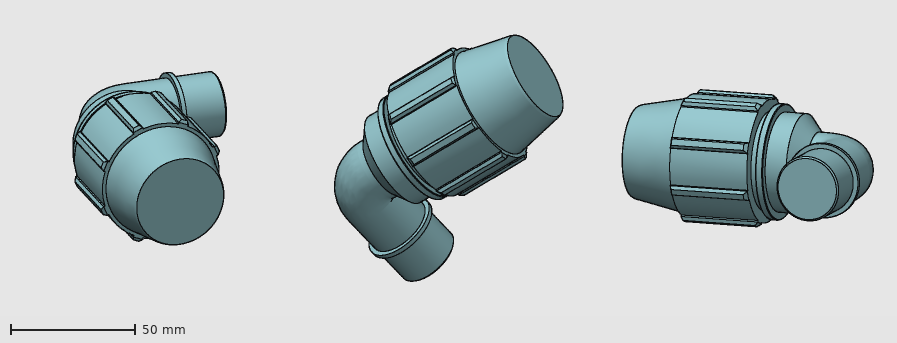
import cadquery as cq
import math

length = 105.2

tube_radius = 13.2
flange_radius = 15.2
spigot_x = flange_radius
spigot_end_y = 48.1
spigot_chamfer = 0.68
flange_start_y = 28.3
flange_thickness = 1.9
bend_radius = 10.5

body_radius = 20.25
cone_start_x = 28.3
cone_end_x = 34.4
ring_radius = 23.51
ring_start_x = 43.3
ring_end_x = 46.4
ring_chamfer = 0.3

nut_radius = 25.0
nut_start_x = 49.4
nut_end_x = 82.5
taper_start_radius = 23.51
taper_end_radius = 19.1
end_chamfer = 1.0

rib_count = 8
rib_top_radius = 26.9
rib_shoulder_radius = 25.6
rib_foot_radius = 24.7
rib_top_width = 2.6
rib_foot_width = 4.4
rib_front_slope = 1.5
rib_back_slope = 0.7


def make_body():
    """Turned body and nut about the X axis."""
    profile = [
        (spigot_x + bend_radius, 0),
        (spigot_x + bend_radius, tube_radius),
        (cone_start_x, tube_radius),
        (cone_end_x, body_radius),
        (ring_start_x, body_radius),
        (ring_start_x, ring_radius - ring_chamfer),
        (ring_start_x + ring_chamfer, ring_radius),
        (ring_end_x - ring_chamfer, ring_radius),
        (ring_end_x, ring_radius - ring_chamfer),
        (ring_end_x, body_radius),
        (nut_start_x, body_radius),
        (nut_start_x, nut_radius),
        (nut_end_x, nut_radius),
        (nut_end_x, taper_start_radius),
        (length - end_chamfer, taper_end_radius),
        (length, taper_end_radius - end_chamfer / 2),
        (length, 0),
    ]
    return cq.Workplane("XY").polyline(profile).close().revolve(360, (0, 0, 0), (1, 0, 0))


def make_spigot():
    """Straight tube along +Y with a chamfered tip and a thin flange."""
    flange_end_y = flange_start_y + flange_thickness
    profile = [
        (0, bend_radius),
        (tube_radius, bend_radius),
        (tube_radius, flange_start_y),
        (flange_radius, flange_start_y),
        (flange_radius, flange_end_y),
        (tube_radius, flange_end_y),
        (tube_radius, spigot_end_y - spigot_chamfer),
        (tube_radius - spigot_chamfer, spigot_end_y),
        (0, spigot_end_y),
    ]
    spigot = cq.Workplane("XY").polyline(profile).close().revolve(360, (0, 0, 0), (0, 1, 0))
    return spigot.translate((spigot_x, 0, 0))


def make_bend():
    """Quarter bend; its section is cut off at the bend axis, which lies inside the tube."""
    half_chord = math.sqrt(tube_radius**2 - bend_radius**2)
    axis_x = spigot_x + bend_radius
    section = (
        cq.Workplane("XZ", origin=(axis_x, bend_radius, 0))
        .moveTo(0, -half_chord)
        .threePointArc((-bend_radius - tube_radius, 0), (0, half_chord))
        .close()
    )
    return section.revolve(90, (0, 0, 0), (0, 1, 0))


def make_rib():
    """Grip rib on the +Z side: an upright foot under a cap that tapers on all four sides."""
    foot_length = nut_end_x - nut_start_x
    top_length = foot_length - rib_front_slope - rib_back_slope
    foot_center = (nut_start_x + nut_end_x) / 2
    top_center = foot_center + (rib_front_slope - rib_back_slope) / 2
    foot = (
        cq.Workplane("XY", origin=(0, 0, rib_foot_radius))
        .center(foot_center, 0)
        .rect(foot_length, rib_foot_width)
        .extrude(rib_shoulder_radius - rib_foot_radius)
    )
    cap = (
        cq.Workplane("XY", origin=(0, 0, rib_shoulder_radius))
        .center(foot_center, 0)
        .rect(foot_length, rib_foot_width)
        .workplane(offset=rib_top_radius - rib_shoulder_radius)
        .center(top_center - foot_center, 0)
        .rect(top_length, rib_top_width)
        .loft(ruled=True)
    )
    return foot.union(cap)


result = make_body().union(make_spigot()).union(make_bend())
rib_pitch = 360 / rib_count
rib = make_rib()
for index in range(rib_count):
    angle = (index + 0.5) * rib_pitch
    result = result.union(rib.rotate((0, 0, 0), (1, 0, 0), angle))